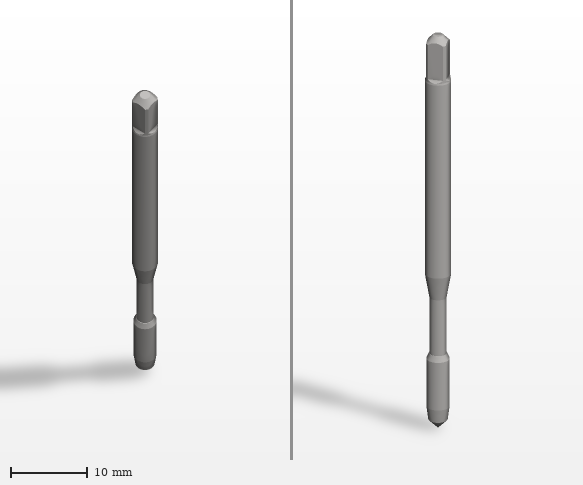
import cadquery as cq

TOTAL_LENGTH = 56.95
SHANK_DIAMETER = 3.5
DRIVE_CORNER_DIAMETER = 3.35
DRIVE_TOP_DIAMETER = 1.35
DRIVE_ACROSS_FLATS = 2.7
NECK_DIAMETER = 2.3
HEAD_DIAMETER = 3.1
HEAD_TOP_DIAMETER = 2.4
LEAD_END_DIAMETER = 2.55

LEAD_START_Z = 3.2
HEAD_TOP_Z = 10.9
TAPER_BOTTOM_Z = 18.95
TAPER_TOP_Z = 22.4
SHANK_TOP_Z = 50.35

SHOULDER_HEIGHT = 0.2
FLAT_RUNOUT_HEIGHT = 0.4
DRIVE_CHAMFER_HEIGHT = 1.0
HEAD_CHAMFER_HEIGHT = 0.8
POINT_HEIGHT = LEAD_END_DIAMETER / 2

FLAT_DEPTH = (DRIVE_CORNER_DIAMETER - DRIVE_ACROSS_FLATS) / 2


def revolved(profile):
    """Turn a closed (radius, height) outline around the Z axis."""
    return cq.Workplane("XZ").polyline(profile).close().revolve(360, (0, 0), (0, 1))


def make_flat_cutter():
    """Material outside one drive flat, on the +X side, with its sloping lower end."""
    flat_x = DRIVE_ACROSS_FLATS / 2
    outer_x = SHANK_DIAMETER
    slope_bottom_z = SHANK_TOP_Z + SHOULDER_HEIGHT
    slope_top_z = slope_bottom_z + FLAT_RUNOUT_HEIGHT
    return (
        cq.Workplane("XZ")
        .moveTo(flat_x, TOTAL_LENGTH)
        .lineTo(flat_x, slope_top_z)
        .lineTo(flat_x + FLAT_DEPTH, slope_bottom_z)
        .lineTo(outer_x, slope_bottom_z)
        .lineTo(outer_x, TOTAL_LENGTH)
        .close()
        .extrude(SHANK_DIAMETER, both=True)
    )


def make_shank():
    """Neck, taper and round shank with a square drive at the top."""
    shank = revolved([
        (0, HEAD_TOP_Z),
        (NECK_DIAMETER / 2, HEAD_TOP_Z),
        (NECK_DIAMETER / 2, TAPER_BOTTOM_Z),
        (SHANK_DIAMETER / 2, TAPER_TOP_Z),
        (SHANK_DIAMETER / 2, SHANK_TOP_Z),
        (DRIVE_CORNER_DIAMETER / 2, SHANK_TOP_Z + SHOULDER_HEIGHT),
        (DRIVE_CORNER_DIAMETER / 2, TOTAL_LENGTH - DRIVE_CHAMFER_HEIGHT),
        (DRIVE_TOP_DIAMETER / 2, TOTAL_LENGTH),
        (0, TOTAL_LENGTH),
    ])
    cutter = make_flat_cutter()
    for angle in (0, 90, 180, 270):
        shank = shank.cut(cutter.rotate((0, 0, 0), (0, 0, 1), angle))
    return shank


def make_head():
    """Working head with a chamfered top edge, a tapered lead and a conical point."""
    return revolved([
        (0, 0),
        (LEAD_END_DIAMETER / 2, POINT_HEIGHT),
        (HEAD_DIAMETER / 2, LEAD_START_Z),
        (HEAD_DIAMETER / 2, HEAD_TOP_Z - HEAD_CHAMFER_HEIGHT),
        (HEAD_TOP_DIAMETER / 2, HEAD_TOP_Z),
        (0, HEAD_TOP_Z),
    ])


shank = make_shank()
head = make_head()
result = cq.Compound.makeCompound([shank.val(), head.val()])